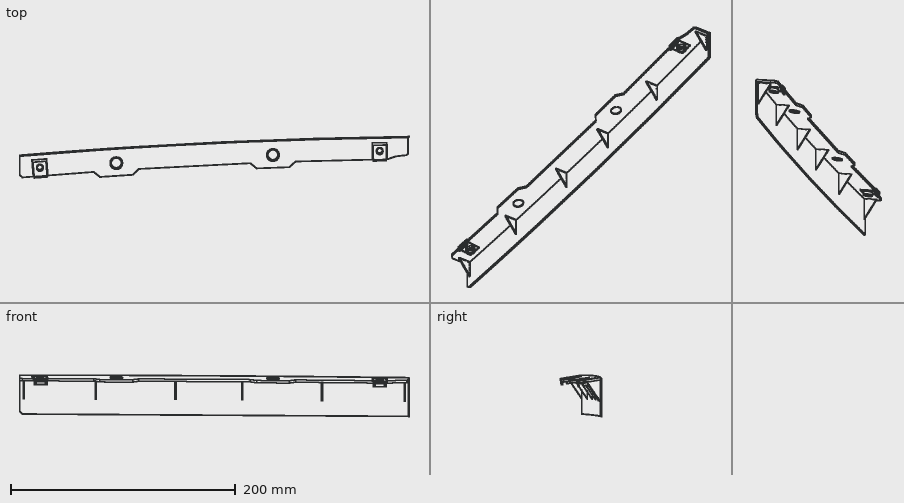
import cadquery as cq


LENGTH = 347.0
SKIN_START_Y = 20.5
SKIN_END_Y = 37.0
SKIN_BOW = 3.0
SKIN_SEAM_X = 97.0
SKIN_THICK = 1.5
TOP_Z = 37.0
TOP_FALL_X = -0.0145
TOP_RISE_Y = 0.166
BOTTOM_START_Z = 2.0
EDGE_BEVEL = 1.0
END_BEVEL = 1.0
CORNER_BEVEL = 2.5

FLANGE_THICK = 2.0
FLANGE_DEPTH = 20.0
FLANGE_END_X = LENGTH - END_BEVEL
CORNER_CUT = 2.5
STEP_START_X = 327.5
STEP_MID_X = 334.7
STEP_MID_DEPTH = 17.7
STEP_DEPTH = 16.5
END_CUT = 1.5

HOLE_XS = (86.0, 225.5)
HOLE_DEPTH = 13.5
HOLE_DIA = 9.0
HOLE_CHAMFER = 1.0
HOLE_CHAMFER_ANGLE = 45
TAB_DEPTH = 25.0
TAB_TIP_WIDTH = 29.0
TAB_ROOT_WIDTH = 40.2

GUSSET_XS = (3.5, 67.5, 138.7, 198.0, 269.0, 342.7)
GUSSET_THICK = 1.0
GUSSET_HEIGHT = 21.5
GUSSET_DEPTH = 16.0

CLIP_XS = (18.0, 320.5)
CLIP_HOLE_DEPTH = 13.0
CLIP_WIDTH = 11.5
CLIP_SHEET = 0.7
CLIP_GAP = 0.7
CLIP_BACK = 5.5
CLIP_DROP = 5.2
CLIP_STRAP_WIDTH = 8.3
CLIP_LUG_WIDTH = 1.0
CLIP_HOLE_DIA = 6.0
CLIP_THREAD_DIA = 5.0
CLIP_BARREL_DIA = 8.3
POCKET_WIDTH = 13.2
POCKET_BACK = 7.5
CLIP_FRONT = FLANGE_DEPTH - CLIP_HOLE_DEPTH + CLIP_GAP

BIG = 2 * LENGTH


def skin_y(x):
    """Y of the outer face at a given X."""
    t = x / LENGTH
    return SKIN_START_Y + (SKIN_END_Y - SKIN_START_Y) * t + 4 * SKIN_BOW * t * (1 - t)


def skin_slope(x):
    """Slope dY/dX of the outer face."""
    return (SKIN_END_Y - SKIN_START_Y + 4 * SKIN_BOW * (1 - 2 * x / LENGTH)) / LENGTH


def inset(x, depth):
    """Point at a given X, set back from the outer face."""
    return (x, skin_y(x) - depth)


def top_z(x, y):
    """Height of the sloping flange top."""
    return TOP_Z + TOP_FALL_X * x + TOP_RISE_Y * (y - SKIN_START_Y)


def flange_plane(x, depth):
    """Plane on the flange top with its x axis along the rail."""
    y = skin_y(x) - depth
    slope = skin_slope(x)
    return cq.Plane(
        origin=(x, y, top_z(x, y)),
        xDir=(1, slope, TOP_FALL_X + TOP_RISE_Y * slope),
        normal=(-TOP_FALL_X, -TOP_RISE_Y, 1),
    )


def under_top(thickness):
    """Slab of the given thickness lying under the flange top."""
    return cq.Workplane(flange_plane(0, 0)).rect(2 * BIG, BIG).extrude(-thickness)


def outer_edge(depth, end_x):
    """Open outline along the rail: two arcs meeting at the seam."""
    second_mid = (SKIN_SEAM_X + end_x) / 2
    return (
        cq.Workplane("XY")
        .moveTo(*inset(0, depth))
        .threePointArc(inset(SKIN_SEAM_X / 2, depth), inset(SKIN_SEAM_X, depth))
        .threePointArc(inset(second_mid, depth), inset(end_x, depth))
    )


def make_skin():
    plan = (
        outer_edge(0, LENGTH)
        .lineTo(*inset(FLANGE_END_X, SKIN_THICK))
        .threePointArc(
            inset((SKIN_SEAM_X + FLANGE_END_X) / 2, SKIN_THICK),
            inset(SKIN_SEAM_X, SKIN_THICK),
        )
        .threePointArc(inset(SKIN_SEAM_X / 2, SKIN_THICK), inset(0, SKIN_THICK))
        .close()
    )
    elevation = (
        cq.Workplane("XZ")
        .moveTo(0, 2 * TOP_Z)
        .lineTo(0, BOTTOM_START_Z + CORNER_BEVEL)
        .lineTo(CORNER_BEVEL, BOTTOM_START_Z)
        .lineTo(LENGTH, 0)
        .lineTo(LENGTH, 2 * TOP_Z)
        .close()
        .extrude(-BIG)
    )
    return plan.extrude(2 * TOP_Z).intersect(elevation).intersect(under_top(2 * TOP_Z))


def make_flange():
    plan = (
        outer_edge(SKIN_THICK / 2, FLANGE_END_X)
        .lineTo(*inset(FLANGE_END_X, STEP_DEPTH - END_CUT))
        .lineTo(*inset(FLANGE_END_X - END_CUT, STEP_DEPTH))
        .lineTo(*inset(STEP_MID_X, STEP_MID_DEPTH))
        .lineTo(*inset(STEP_START_X, FLANGE_DEPTH))
    )
    for hole_x in reversed(HOLE_XS):
        plan = (
            plan.lineTo(*inset(hole_x + TAB_ROOT_WIDTH / 2, FLANGE_DEPTH))
            .lineTo(*inset(hole_x + TAB_TIP_WIDTH / 2, TAB_DEPTH))
            .lineTo(*inset(hole_x - TAB_TIP_WIDTH / 2, TAB_DEPTH))
            .lineTo(*inset(hole_x - TAB_ROOT_WIDTH / 2, FLANGE_DEPTH))
        )
    plan = (
        plan.lineTo(*inset(CORNER_CUT, FLANGE_DEPTH))
        .lineTo(*inset(0, FLANGE_DEPTH - CORNER_CUT))
        .close()
    )
    return plan.extrude(2 * TOP_Z).intersect(under_top(FLANGE_THICK))


def is_outer_top_edge(edge):
    """True for the long edges where the outer face meets the flange top."""
    middle = edge.positionAt(0.5)
    near_outer = abs(middle.y - skin_y(middle.x)) < SKIN_THICK / 2
    near_top = abs(middle.z - top_z(middle.x, middle.y)) < SKIN_THICK / 2
    is_long = edge.Length() > SKIN_SEAM_X / 2
    return near_outer and near_top and is_long


def make_gusset(x):
    """Triangular web between the skin and the underside of the flange."""
    root_y = skin_y(x) - EDGE_BEVEL
    tip_y = skin_y(x) - GUSSET_DEPTH
    outer_top = top_z(x, skin_y(x))
    foot_z = outer_top - GUSSET_HEIGHT
    web = (
        cq.Workplane("YZ", origin=(x - GUSSET_THICK / 2, 0, 0))
        .polyline(
            [
                (root_y, foot_z),
                (root_y, outer_top),
                (tip_y, outer_top),
                (skin_y(x) - SKIN_THICK, foot_z),
            ]
        )
        .close()
        .extrude(GUSSET_THICK)
    )
    return web.intersect(under_top(GUSSET_HEIGHT * 2))


def hole_cutter(x):
    """Through hole with a countersunk rim on the flange top."""
    plane = flange_plane(x, HOLE_DEPTH)
    bore = cq.Workplane(plane).circle(HOLE_DIA / 2).extrude(-2 * FLANGE_THICK)
    rim = (
        cq.Workplane(plane)
        .circle(HOLE_DIA / 2 + HOLE_CHAMFER)
        .extrude(-HOLE_CHAMFER, taper=HOLE_CHAMFER_ANGLE)
    )
    return bore.union(rim)


def local_box(plane, x_range, y_range, z_range):
    """Box between two limits on each axis of a plane."""
    x0, x1 = x_range
    y0, y1 = y_range
    z0, z1 = z_range
    return (
        cq.Workplane(plane)
        .workplane(offset=z0)
        .center((x0 + x1) / 2, (y0 + y1) / 2)
        .rect(x1 - x0, y1 - y0)
        .extrude(z1 - z0)
    )


def clip_seat(x):
    """Pocket for the upper leaf and clearance for the screw, cut from the flange."""
    plane = flange_plane(x, CLIP_HOLE_DEPTH)
    half = POCKET_WIDTH / 2
    pocket = local_box(plane, (-half, half), (-CLIP_FRONT, POCKET_BACK), (-CLIP_SHEET, CLIP_SHEET))
    bore = cq.Workplane(plane).circle(CLIP_HOLE_DIA / 2).extrude(-2 * FLANGE_THICK)
    return pocket.union(bore)


def make_rail():
    rail = make_skin().union(make_flange())
    top_edges = [edge for edge in rail.edges().vals() if is_outer_top_edge(edge)]
    rail = rail.newObject(top_edges).chamfer(EDGE_BEVEL)
    for x in GUSSET_XS:
        rail = rail.union(make_gusset(x))
    for x in HOLE_XS:
        rail = rail.cut(hole_cutter(x))
    for x in CLIP_XS:
        rail = rail.cut(clip_seat(x))
    return rail


def make_clip(x):
    """Sheet clip: upper and lower leaves, front strap, side lugs, threaded barrel."""
    plane = flange_plane(x, CLIP_HOLE_DEPTH)
    half = CLIP_WIDTH / 2
    strap = CLIP_STRAP_WIDTH / 2
    nose = (-CLIP_FRONT - CLIP_SHEET, -CLIP_FRONT)
    span = (-CLIP_FRONT - CLIP_SHEET, CLIP_BACK)
    leaf_top = -FLANGE_THICK

    clip = local_box(plane, (-half, half), span, (-CLIP_SHEET, 0))
    clip = clip.union(local_box(plane, (-half, half), span, (leaf_top - CLIP_SHEET, leaf_top)))
    clip = clip.union(local_box(plane, (-strap, strap), nose, (-CLIP_DROP, 0)))
    for lug_x in (-half, half - CLIP_LUG_WIDTH):
        clip = clip.union(local_box(plane, (lug_x, lug_x + CLIP_LUG_WIDTH), nose, (-CLIP_DROP, 0)))

    lower = cq.Workplane(plane).workplane(offset=leaf_top)
    clip = clip.union(lower.circle(CLIP_BARREL_DIA / 2).extrude(FLANGE_THICK - CLIP_DROP))
    clip = clip.cut(lower.circle(CLIP_THREAD_DIA / 2).extrude(-CLIP_DROP))
    return clip.cut(cq.Workplane(plane).circle(CLIP_HOLE_DIA / 2).extrude(leaf_top))


rail = make_rail()
clips = [make_clip(x) for x in CLIP_XS]

result = cq.Compound.makeCompound([rail.val(), *[clip.val() for clip in clips]])